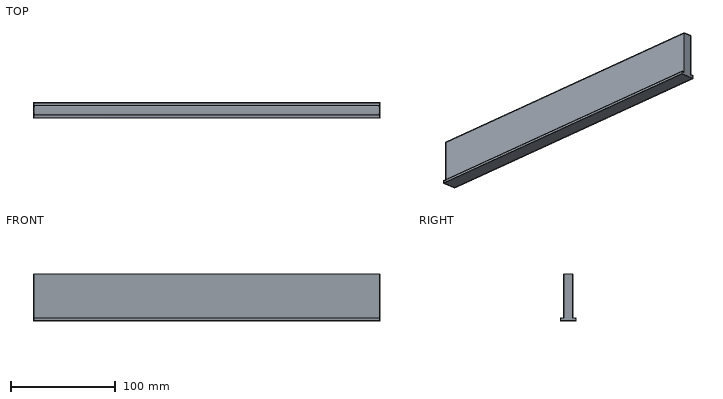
import cadquery as cq

length = 330.0
flange_width = 15.0
total_height = 45.0

web_width = 9.0
flange_height = 3.0
flange_edge_radius = 1.0
top_edge_radius = 1.15


def make_flange():
    """Wide foot along the bottom, with its two upper long edges rounded."""
    foot = cq.Workplane("XY").box(length, flange_width, flange_height, centered=(True, True, False))
    return foot.faces(">Z").edges("|X").fillet(flange_edge_radius)


def make_web():
    """Upright blade standing on the foot, with the rim of its top face rounded."""
    web_height = total_height - flange_height
    blade = (
        cq.Workplane("XY")
        .workplane(offset=flange_height)
        .box(length, web_width, web_height, centered=(True, True, False))
    )
    return blade.faces(">Z").edges().fillet(top_edge_radius)


rail = make_flange().union(make_web())

result = cq.Compound.makeCompound([rail.val()])